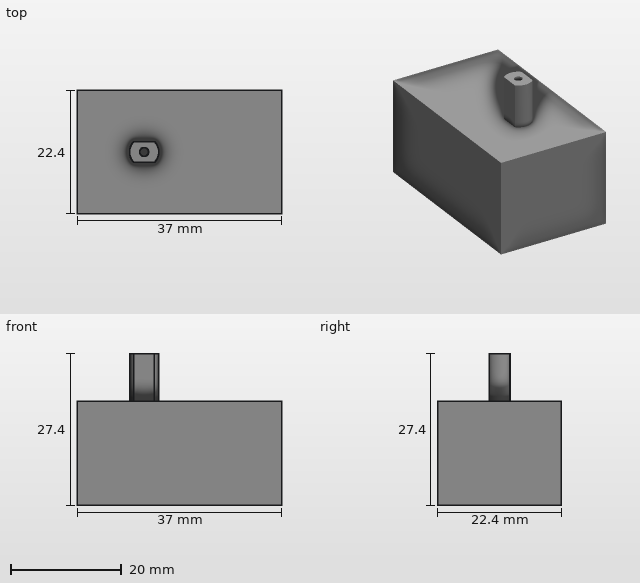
import cadquery as cq

body_length = 36.98
body_width = 22.35
total_height = 27.35
shaft_length = 8.58
body_height = total_height - shaft_length

shaft_diameter = 5.3
shaft_across_flats = 3.77
shaft_from_left_side = 12.1
shaft_x = shaft_from_left_side - body_length / 2
hole_diameter = 1.6
hole_depth = shaft_length


def make_body():
    """Rectangular block standing on the XY plane."""
    return cq.Workplane("XY").box(body_length, body_width, body_height, centered=(True, True, False))


def make_shaft():
    """Round shaft on top of the body, cut to flats facing -Y and +Y."""
    base = cq.Workplane("XY", origin=(shaft_x, 0, body_height))
    cylinder = base.circle(shaft_diameter / 2).extrude(shaft_length)
    flats = base.rect(shaft_diameter, shaft_across_flats).extrude(shaft_length)
    return cylinder.intersect(flats)


def make_shaft_hole():
    """Blind hole running down from the shaft tip."""
    tip = cq.Workplane("XY", origin=(shaft_x, 0, total_height))
    return tip.circle(hole_diameter / 2).extrude(-hole_depth)


result = make_body().union(make_shaft()).cut(make_shaft_hole())